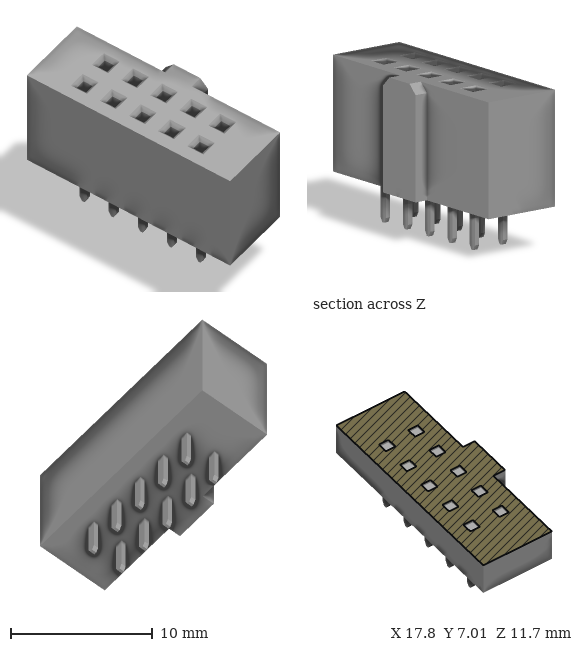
import cadquery as cq

housing_length = 17.78
housing_width = 6.0
housing_height = 8.5

key_width = 3.7
key_depth = 1.01
key_chamfer = 0.7

columns = 5
rows = 2
pitch = 2.55

socket_mouth = 1.4
socket_bore = 0.8
socket_depth = 6.05
lead_in_depth = (socket_mouth - socket_bore) / 2

pin_width = 0.6
pin_thickness = 0.4
pin_length = 3.2
pin_tip_height = 0.37
pin_tip_width = 0.21


def make_housing():
    return cq.Workplane("XY").box(
        housing_length, housing_width, housing_height, centered=(True, True, False)
    )


def make_key():
    """Full-height rib with both upper corners chamfered."""
    key = (
        cq.Workplane("XY")
        .center(0, (housing_width + key_depth) / 2)
        .box(key_width, key_depth, housing_height, centered=(True, True, False))
    )
    return key.faces(">Z").edges("|Y").chamfer(key_chamfer)


def make_socket():
    """Square blind hole with a tapered lead-in, ready to be cut from the top face."""
    top = cq.Workplane("XY", origin=(0, 0, housing_height))
    bore = top.rect(socket_bore, socket_bore).extrude(-socket_depth)
    lead_in = (
        top.rect(socket_mouth, socket_mouth)
        .workplane(offset=-lead_in_depth)
        .rect(socket_bore, socket_bore)
        .loft(ruled=True)
    )
    return bore.union(lead_in)


def make_pin():
    """Flat pin whose end narrows across X only."""
    half_width = pin_width / 2
    half_tip = pin_tip_width / 2
    shoulder_z = pin_tip_height - pin_length
    return (
        cq.Workplane("XZ")
        .moveTo(-half_width, 0)
        .lineTo(-half_width, shoulder_z)
        .lineTo(-half_tip, -pin_length)
        .lineTo(half_tip, -pin_length)
        .lineTo(half_width, shoulder_z)
        .lineTo(half_width, 0)
        .close()
        .extrude(pin_thickness / 2, both=True)
    )


result = make_housing().union(make_key())
socket = make_socket()
pin = make_pin()
for column in range(columns):
    for row in range(rows):
        x = (column - (columns - 1) / 2) * pitch
        y = (row - (rows - 1) / 2) * pitch
        result = result.cut(socket.translate((x, y, 0)))
        result = result.union(pin.translate((x, y, 0)))